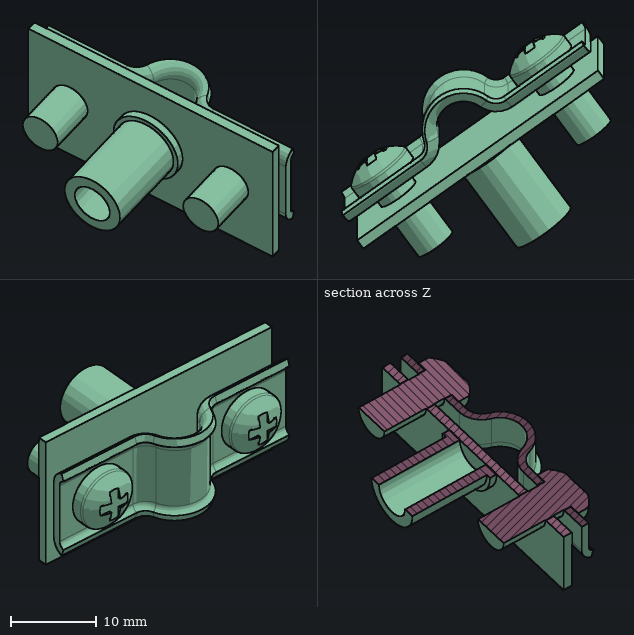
import cadquery as cq
import math


PLATE_LENGTH = 35.0
PLATE_HEIGHT = 18.0
PLATE_THICKNESS = 1.25

SOCKET_LENGTH = 12.0
SOCKET_DIAMETER = 7.95
FLANGE_DIAMETER = 9.2
FLANGE_THICKNESS = 0.98
BORE_DIAMETER = 5.0

CLAMP_FRONT_Y = 2.73
CLAMP_THICKNESS = 1.05
CLAMP_HEIGHT = 12.0
FLARE_INNER_RADIUS = 0.98
FLARE_OUTER_RADIUS = FLARE_INNER_RADIUS + CLAMP_THICKNESS
FLARE_ANGLE = math.radians(72)
WEB_HALF_HEIGHT = CLAMP_HEIGHT / 2 - FLARE_OUTER_RADIUS * math.sin(FLARE_ANGLE)

HUMP_RISE = 4.48
HUMP_RADIUS = 3.15
BEND_START_X = 6.2

SCREW_SPACING = 23.0
SHANK_DIAMETER = 5.0
SHANK_END_Y = -6.2
HEAD_DIAMETER = 7.95
HEAD_RIM_HEIGHT = 1.5
HEAD_HEIGHT = 3.25
HEAD_EDGE_RADIUS = 0.42
SLOT_WIDTH = 1.35
SLOT_FLOOR_HEIGHT = 2.8

CLAMP_BACK_Y = CLAMP_FRONT_Y + CLAMP_THICKNESS
SCREW_POSITIONS = [-SCREW_SPACING / 2, SCREW_SPACING / 2]


def cylinder_along_y(diameter, start_y, end_y, x=0.0):
    """Cylinder parallel to Y between two Y positions."""
    axis_start = cq.Vector(x, start_y, 0)
    solid = cq.Solid.makeCylinder(diameter / 2, end_y - start_y, axis_start, cq.Vector(0, 1, 0))
    return cq.Workplane(obj=solid)


def cut_shank_holes(body):
    """Cut a close-fitting hole for each screw shank through the plate or the clamp."""
    for x in SCREW_POSITIONS:
        body = body.cut(cylinder_along_y(SHANK_DIAMETER, SHANK_END_Y, CLAMP_BACK_Y, x))
    return body


def make_plate():
    plate = cq.Workplane().box(
        PLATE_LENGTH, PLATE_THICKNESS, PLATE_HEIGHT, centered=(True, False, True)
    )
    return cut_shank_holes(plate)


def make_socket():
    """Flanged tube standing on the front face of the plate, bored along its full length."""
    flange = cylinder_along_y(FLANGE_DIAMETER, -FLANGE_THICKNESS, 0)
    tube = cylinder_along_y(SOCKET_DIAMETER, -SOCKET_LENGTH, 0)
    bore = cylinder_along_y(BORE_DIAMETER, -SOCKET_LENGTH, 0)
    return flange.union(tube).cut(bore)


def flare_point(radius, angle, side):
    """Point (Y, Z) on a flare arc, at an angle from the web; side is 1 on top, -1 below."""
    y = CLAMP_FRONT_Y + FLARE_OUTER_RADIUS - radius * math.cos(angle)
    z = WEB_HALF_HEIGHT + radius * math.sin(angle)
    return (y, side * z)


def clamp_profile():
    """Cross-section of the clamp at its left end: a flat web with a curved flare at each edge."""
    outer, inner = FLARE_OUTER_RADIUS, FLARE_INNER_RADIUS
    middle = FLARE_ANGLE / 2
    return (
        cq.Workplane("YZ", origin=(-PLATE_LENGTH / 2, 0, 0))
        .moveTo(*flare_point(outer, 0, -1))
        .lineTo(*flare_point(outer, 0, 1))
        .threePointArc(flare_point(outer, middle, 1), flare_point(outer, FLARE_ANGLE, 1))
        .lineTo(*flare_point(inner, FLARE_ANGLE, 1))
        .threePointArc(flare_point(inner, middle, 1), flare_point(inner, 0, 1))
        .lineTo(*flare_point(inner, 0, -1))
        .threePointArc(flare_point(inner, middle, -1), flare_point(inner, FLARE_ANGLE, -1))
        .lineTo(*flare_point(outer, FLARE_ANGLE, -1))
        .threePointArc(flare_point(outer, middle, -1), flare_point(outer, 0, -1))
        .close()
    )


def clamp_path():
    """Front line of the clamp: straight ends joined to a round hump by tangent bends."""
    center_rise = HUMP_RISE - HUMP_RADIUS
    hump_center_y = CLAMP_FRONT_Y + center_rise
    bend_radius = (BEND_START_X**2 + center_rise**2 - HUMP_RADIUS**2) / (2 * HUMP_RISE)
    turn = math.asin(BEND_START_X / (bend_radius + HUMP_RADIUS))

    joint_x = HUMP_RADIUS * math.sin(turn)
    joint_y = hump_center_y + HUMP_RADIUS * math.cos(turn)
    bend_middle_x = BEND_START_X - bend_radius * math.sin(turn / 2)
    bend_middle_y = CLAMP_FRONT_Y + bend_radius * (1 - math.cos(turn / 2))
    return (
        cq.Workplane("XY")
        .moveTo(-PLATE_LENGTH / 2, CLAMP_FRONT_Y)
        .lineTo(-BEND_START_X, CLAMP_FRONT_Y)
        .threePointArc((-bend_middle_x, bend_middle_y), (-joint_x, joint_y))
        .threePointArc((0, CLAMP_FRONT_Y + HUMP_RISE), (joint_x, joint_y))
        .threePointArc((bend_middle_x, bend_middle_y), (BEND_START_X, CLAMP_FRONT_Y))
        .lineTo(PLATE_LENGTH / 2, CLAMP_FRONT_Y)
    )


def make_clamp():
    return cut_shank_holes(clamp_profile().sweep(clamp_path()))


def make_screw(x):
    """Screw with a domed head on the back of the clamp and a cross slot in the dome."""
    head_radius = HEAD_DIAMETER / 2
    dome_height = HEAD_HEIGHT - HEAD_RIM_HEIGHT
    dome_radius = (head_radius**2 + dome_height**2) / (2 * dome_height)
    half_angle = math.asin(head_radius / dome_radius) / 2
    rim_y = CLAMP_BACK_Y + HEAD_RIM_HEIGHT
    top_y = CLAMP_BACK_Y + HEAD_HEIGHT
    dome_middle = (dome_radius * math.sin(half_angle), top_y - dome_radius * (1 - math.cos(half_angle)))

    screw = (
        cq.Workplane("XY")
        .moveTo(0, SHANK_END_Y)
        .lineTo(SHANK_DIAMETER / 2, SHANK_END_Y)
        .lineTo(SHANK_DIAMETER / 2, CLAMP_BACK_Y)
        .lineTo(head_radius, CLAMP_BACK_Y)
        .lineTo(head_radius, rim_y)
        .threePointArc(dome_middle, (0, top_y))
        .close()
        .revolve(360, (0, 0), (0, 1))
    )
    rim_edge = cq.selectors.NearestToPointSelector((0, rim_y, 0))
    screw = screw.edges("%CIRCLE").edges(rim_edge).fillet(HEAD_EDGE_RADIUS)

    slot_depth = HEAD_HEIGHT - SLOT_FLOOR_HEIGHT
    slot = (
        cq.Workplane()
        .box(HEAD_DIAMETER, slot_depth, SLOT_WIDTH, centered=(True, False, True))
        .translate((0, CLAMP_BACK_Y + SLOT_FLOOR_HEIGHT, 0))
    )
    cross_slot = slot.union(slot.rotate((0, 0, 0), (0, 1, 0), 90))
    return screw.cut(cross_slot).translate((x, 0, 0))


plate = make_plate()
socket = make_socket()
clamp = make_clamp()
screws = [make_screw(x) for x in SCREW_POSITIONS]

result = cq.Compound.makeCompound(
    [plate.val(), socket.val(), clamp.val(), *[screw.val() for screw in screws]]
)